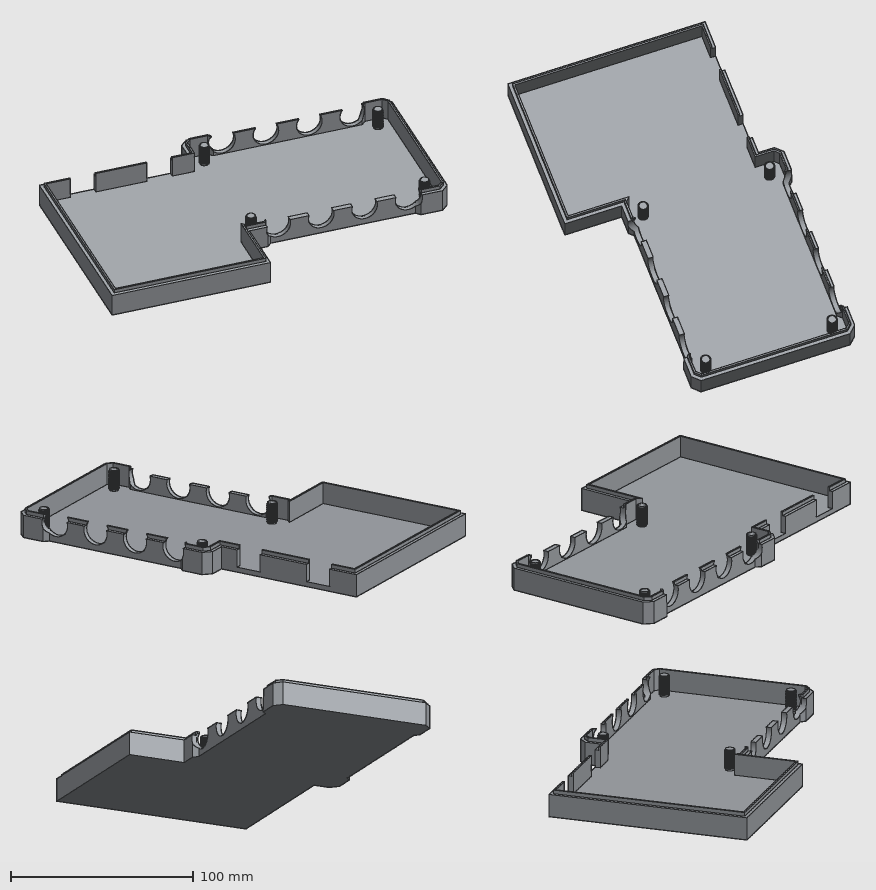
import cadquery as cq

total_length = 209.7
total_width = 128.4
total_height = 15.0

lip_inset = 2.0
lip_thickness = 1.0
lip_height = 2.0
wall = lip_inset + lip_thickness
floor = 3.0
rim_height = total_height - lip_height

head_width = 95.2
head_length = 123.1
head_bottom = total_length - head_length
head_center_x = head_width / 2
head_center_y = head_bottom + head_length / 2
corner_chamfer = 4.2
recess_depth = 2.5
recess_margin = 16.8
recess_length = head_length - 2 * recess_margin

box_left = 13.5
box_right = total_width
box_top = head_bottom + 2 * wall

notch_diameter = 14.9
notch_center_z = 11.0
notch_pitch = 25.4
notch_count = 4

window_width = 14.9
window_centers_y = (24.5, 69.2)

thread_major = 5.9
thread_minor = 4.8
thread_pitch = 1.0
thread_base_share = 0.9
thread_overlap = 0.2
pin_spacing_x = 73.6
pin_spacing_y = 101.5


def head_outline():
    """Points of the chamfered and recessed head, centred on the origin."""
    half_width = head_width / 2
    half_length = head_length / 2
    half_recess = recess_length / 2
    upper_right = [
        (half_width - recess_depth, half_recess - recess_depth),
        (half_width, half_recess),
        (half_width, half_length - corner_chamfer),
        (half_width - corner_chamfer, half_length),
    ]
    upper_left = [(-x, y) for x, y in reversed(upper_right)]
    upper = upper_right + upper_left
    lower = [(-x, -y) for x, y in upper]
    return upper + lower


def plan_prism(inset, bottom, top):
    """Prism over the head and box outlines, each shrunk by the inset."""
    height = top - bottom
    head = (
        cq.Workplane("XY", origin=(head_center_x, head_center_y, bottom))
        .polyline(head_outline())
        .close()
    )
    if inset > 0:
        head = head.offset2D(-inset, "intersection")
    head = head.extrude(height)
    box_width = box_right - box_left - 2 * inset
    box_length = box_top - 2 * inset
    box = (
        cq.Workplane("XY", origin=(box_left + inset, inset, bottom))
        .rect(box_width, box_length, centered=False)
        .extrude(height)
    )
    return head.union(box)


def right_recess_gap():
    """Space above the right recess wall, where the lip is left out."""
    strip_width = recess_depth + wall
    return (
        cq.Workplane("XY", origin=(head_width - strip_width / 2, head_center_y, rim_height))
        .rect(strip_width, recess_length)
        .extrude(lip_height)
    )


def shell():
    body = plan_prism(0, 0, rim_height)
    lip = plan_prism(lip_inset, rim_height, total_height)
    cavity = plan_prism(wall, floor, total_height)
    return body.union(lip).cut(right_recess_gap()).cut(cavity)


def cable_notches():
    """Horizontal cylinders crossing the full head width."""
    first_y = -notch_pitch * (notch_count - 1) / 2
    return (
        cq.Workplane("YZ", origin=(0, head_center_y, notch_center_z))
        .pushPoints([(first_y + i * notch_pitch, 0) for i in range(notch_count)])
        .circle(notch_diameter / 2)
        .extrude(head_width)
    )


def windows():
    return (
        cq.Workplane("XY", origin=(box_left + wall / 2, 0, floor))
        .pushPoints([(0, y) for y in window_centers_y])
        .rect(wall, window_width)
        .extrude(total_height - floor)
    )


def threaded_pin():
    """Round core with a sharp helical ridge from the floor to the top."""
    core_radius = thread_minor / 2
    foot_radius = core_radius - thread_overlap
    half_base = thread_base_share * thread_pitch / 2
    helix = cq.Wire.makeHelix(thread_pitch, total_height - floor - thread_pitch, core_radius)
    ridge = (
        cq.Workplane("XZ")
        .polyline([(foot_radius, -half_base), (thread_major / 2, 0), (foot_radius, half_base)])
        .close()
        .sweep(cq.Workplane(helix), isFrenet=True)
        .translate((0, 0, floor + thread_pitch / 2))
    )
    core = cq.Workplane("XY").circle(core_radius).extrude(total_height)
    return core.union(ridge)


def pins():
    pin = threaded_pin().val()
    return (
        cq.Workplane("XY", origin=(head_center_x, head_center_y, 0))
        .rect(pin_spacing_x, pin_spacing_y, forConstruction=True)
        .vertices()
        .eachpoint(lambda location: pin.moved(location))
    )


case = shell().cut(cable_notches()).cut(windows()).union(pins())
result = case.solids()